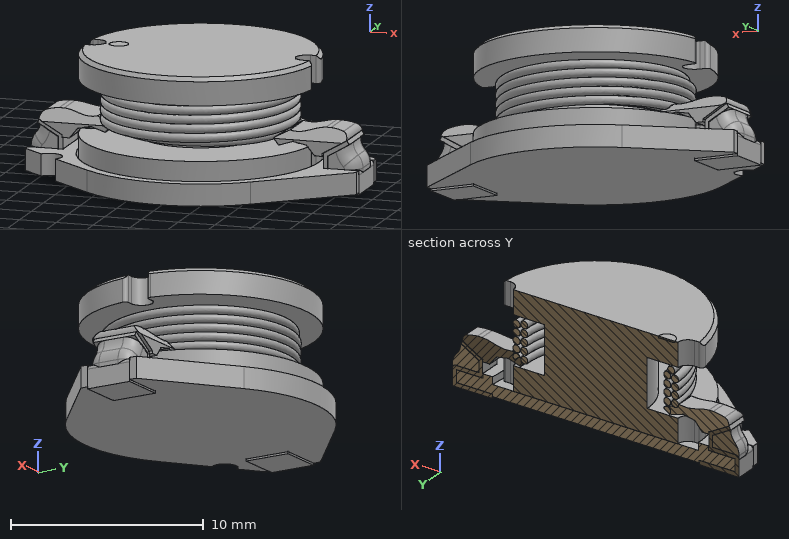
import cadquery as cq
import math

LENGTH = 18.05
WIDTH = 14.06
PAD_DROP = 0.1
BASE_TOP = 1.3
BASE_END_HALF = 1.7
KEY_X = -7.27
KEY_Y = -3.07
KEY_RADIUS = 0.69

CORE_RADIUS = 6.35
SEAT_RADIUS = 6.46
POST_RADIUS = 3.25
LOWER_FLANGE_TOP = 2.35
UPPER_FLANGE_BOTTOM = 5.3
CORE_TOP = 6.8
CORE_BOTTOM = LOWER_FLANGE_TOP - (CORE_TOP - UPPER_FLANGE_BOTTOM)
CORE_CHAMFER = 0.22
SLOT_WIDTH = 1.23
SLOT_END_X = 5.18
SLOT_MOUTH_RADIUS = 0.22
DOT_X = -4.45
DOT_RADIUS = 0.5
DOT_DEPTH = 0.09

WIRE_RADIUS = 0.23
OUTER_RADIUS = 4.98
INNER_RADIUS = 4.5
OUTER_START_Z = 2.89
OUTER_PITCH = 0.49
OUTER_TURNS = 4.25
CROSSOVER_TURNS = 0.5
INNER_TURNS = 4.75
INNER_TOP_Z = 5.05
INNER_BOTTOM_Z = 2.6
POINTS_PER_TURN = 16

SHEET = 0.25
TERMINAL_HALF_WIDTH = 1.28
PAD_INNER_X = 6.5
TONGUE_X = 7.35
TONGUE_BEND_Z = 1.97
TONGUE_TIP_X = 8.5
TONGUE_ANGLE = math.radians(30)
TONGUE_BEND_RADIUS = 0.18
WRAP_RADIUS = 0.23

SOLDER_HALF_WIDTH = 1.34
SOLDER_ROUNDING = 0.75

LEAD_HALF_WIDTH = 1.48
LEAD_TOP_HALF_WIDTH = 0.94
LEAD_TOP = 3.4
LEAD_SHOULDER_Z = 2.75

END_ANGLES = (0, 180)

END_X = LENGTH / 2
TONGUE_RISE = math.tan(TONGUE_ANGLE)
TONGUE_BEND = (TONGUE_X, TONGUE_BEND_Z)
TONGUE_TIP_LOW = (TONGUE_TIP_X, TONGUE_BEND_Z + (TONGUE_TIP_X - TONGUE_X) * TONGUE_RISE)
TONGUE_TIP_HIGH = (
    TONGUE_TIP_LOW[0] - SHEET * math.sin(TONGUE_ANGLE),
    TONGUE_TIP_LOW[1] + SHEET * math.cos(TONGUE_ANGLE),
)
TONGUE_BACK_X = TONGUE_X - SHEET
TONGUE_BACK_BEND = (
    TONGUE_BACK_X,
    TONGUE_TIP_HIGH[1] - (TONGUE_TIP_HIGH[0] - TONGUE_BACK_X) * TONGUE_RISE,
)


def xz_sketch(half_width):
    """Workplane in XZ from which extruding 2 * half_width is centred on Y = 0."""
    return cq.Workplane("XZ", origin=(0, half_width, 0))


def turned(body, angle):
    return body.rotate((0, 0, 0), (0, 0, 1), angle)


def make_terminal():
    strip = (
        xz_sketch(TERMINAL_HALF_WIDTH)
        .polyline([
            (PAD_INNER_X, 0),
            (END_X, 0),
            (END_X, BASE_TOP),
            (TONGUE_X, BASE_TOP),
            TONGUE_BEND,
            TONGUE_TIP_LOW,
            TONGUE_TIP_HIGH,
            TONGUE_BACK_BEND,
            (TONGUE_BACK_X, BASE_TOP - SHEET),
            (END_X - SHEET, BASE_TOP - SHEET),
            (END_X - SHEET, SHEET),
            (PAD_INNER_X, SHEET),
        ])
        .close()
        .extrude(2 * TERMINAL_HALF_WIDTH)
    )
    return strip


def round_terminal(strip):
    wrap_edge = cq.selectors.NearestToPointSelector((END_X, 0, BASE_TOP))
    back_bend = cq.selectors.NearestToPointSelector((TONGUE_BACK_BEND[0], 0, TONGUE_BACK_BEND[1]))
    return strip.edges(wrap_edge).fillet(WRAP_RADIUS).edges(back_bend).fillet(TONGUE_BEND_RADIUS)


def make_solder(terminal):
    foot_z = BASE_TOP - WRAP_RADIUS
    block_top = TONGUE_TIP_HIGH[1]
    s_middle = ((END_X + TONGUE_TIP_X) / 2, (BASE_TOP + TONGUE_TIP_LOW[1]) / 2)
    block = (
        xz_sketch(SOLDER_HALF_WIDTH)
        .moveTo(TONGUE_X, foot_z)
        .lineTo(END_X, foot_z)
        .lineTo(END_X, BASE_TOP)
        .tangentArcPoint(s_middle, relative=False)
        .tangentArcPoint(TONGUE_TIP_LOW, relative=False)
        .lineTo(TONGUE_TIP_X, block_top)
        .lineTo(TONGUE_X, block_top)
        .close()
        .extrude(2 * SOLDER_HALF_WIDTH)
    )
    side_edges = block.faces("|Y").edges().vals()
    outer_edges = [edge for edge in side_edges if edge.BoundingBox().xmin > TONGUE_TIP_X - 0.02]
    block = block.newObject(outer_edges).fillet(SOLDER_ROUNDING)
    above_tongue = (
        xz_sketch(SOLDER_HALF_WIDTH)
        .polyline([
            TONGUE_BEND,
            (LENGTH, TONGUE_BEND_Z + (LENGTH - TONGUE_X) * TONGUE_RISE),
            (TONGUE_X, LENGTH),
        ])
        .close()
        .extrude(2 * SOLDER_HALF_WIDTH)
    )
    return block.cut(above_tongue).cut(terminal)


def make_base(terminal_blanks):
    radius = WIDTH / 2
    corner_distance = math.hypot(END_X, BASE_END_HALF)
    tangent_angle = math.atan2(BASE_END_HALF, END_X) + math.acos(radius / corner_distance)
    tangent_x = radius * math.cos(tangent_angle)
    tangent_y = radius * math.sin(tangent_angle)
    plate = (
        cq.Workplane("XY", origin=(0, 0, PAD_DROP))
        .moveTo(END_X, -BASE_END_HALF)
        .lineTo(END_X, BASE_END_HALF)
        .lineTo(tangent_x, tangent_y)
        .threePointArc((0, radius), (-tangent_x, tangent_y))
        .lineTo(-END_X, BASE_END_HALF)
        .lineTo(-END_X, -BASE_END_HALF)
        .lineTo(-tangent_x, -tangent_y)
        .threePointArc((0, -radius), (tangent_x, -tangent_y))
        .close()
        .extrude(BASE_TOP - PAD_DROP)
    )
    key = cq.Workplane("XY").center(KEY_X, KEY_Y).circle(KEY_RADIUS).extrude(BASE_TOP)
    seat = cq.Workplane("XY", origin=(0, 0, CORE_BOTTOM)).circle(SEAT_RADIUS).extrude(BASE_TOP - CORE_BOTTOM)
    plate = plate.cut(key).cut(seat)
    for blank in terminal_blanks:
        plate = plate.cut(blank)
    return plate


def make_flange(bottom, top):
    flange = cq.Workplane("XY", origin=(0, 0, bottom)).circle(CORE_RADIUS).extrude(top - bottom)
    slot_length = 2 * (CORE_RADIUS + SLOT_WIDTH - SLOT_END_X)
    slots = (
        cq.Workplane("XY", origin=(0, 0, bottom))
        .pushPoints([(side * (SLOT_END_X + slot_length / 2), 0) for side in (1, -1)])
        .slot2D(slot_length, SLOT_WIDTH)
        .extrude(top - bottom)
    )
    flange = flange.cut(slots)
    mouth = cq.selectors.BoxSelector(
        (-LENGTH, -SLOT_WIDTH, bottom), (LENGTH, SLOT_WIDTH, top)
    )
    mouth_x = CORE_RADIUS - SLOT_MOUTH_RADIUS
    edges = flange.edges("|Z").edges(mouth)
    outer = [e for e in edges.vals() if abs(e.Center().x) > mouth_x]
    return flange.newObject(outer).fillet(SLOT_MOUTH_RADIUS)


def make_core(dot):
    lower = make_flange(CORE_BOTTOM, LOWER_FLANGE_TOP)
    upper = make_flange(UPPER_FLANGE_BOTTOM, CORE_TOP)
    height = CORE_TOP - CORE_BOTTOM
    floor = cq.Workplane("XY", origin=(0, 0, CORE_BOTTOM))
    post = floor.circle(POST_RADIUS).extrude(height)
    bevelled_cylinder = floor.circle(CORE_RADIUS).extrude(height).faces(">Z").chamfer(CORE_CHAMFER)
    return lower.union(post).union(upper).intersect(bevelled_cylinder).cut(dot)


def make_dot():
    return (
        cq.Workplane("XY", origin=(DOT_X, 0, CORE_TOP - DOT_DEPTH)).circle(DOT_RADIUS).extrude(DOT_DEPTH)
    )


def wire_point(turn):
    """Centre of the wire after a number of turns from the +X end of the outer layer."""
    inner_start = OUTER_TURNS + CROSSOVER_TURNS
    outer_top_z = OUTER_START_Z + OUTER_PITCH * OUTER_TURNS
    if turn <= OUTER_TURNS:
        radius = OUTER_RADIUS
        z = OUTER_START_Z + OUTER_PITCH * turn
    elif turn <= inner_start:
        share = (turn - OUTER_TURNS) / CROSSOVER_TURNS
        radius = OUTER_RADIUS + (INNER_RADIUS - OUTER_RADIUS) * share
        z = outer_top_z + (INNER_TOP_Z - outer_top_z) * math.sin(share * math.pi / 2)
    else:
        share = (turn - inner_start) / INNER_TURNS
        radius = INNER_RADIUS
        z = INNER_TOP_Z + (INNER_BOTTOM_Z - INNER_TOP_Z) * share
    angle = 2 * math.pi * turn
    return cq.Vector(radius * math.cos(angle), radius * math.sin(angle), z)


def make_winding():
    turns = OUTER_TURNS + CROSSOVER_TURNS + INNER_TURNS
    steps = round(turns * POINTS_PER_TURN)
    path = cq.Edge.makeSpline([wire_point(turns * step / steps) for step in range(steps + 1)])
    start = cq.Plane(origin=path.positionAt(0), normal=path.tangentAt(0))
    return cq.Workplane(start).circle(WIRE_RADIUS).sweep(cq.Workplane(path), isFrenet=True)


def make_lead():
    side = (
        xz_sketch(LEAD_HALF_WIDTH)
        .moveTo(*TONGUE_TIP_HIGH)
        .threePointArc((8.3, 3.14), (8.12, 3.29))
        .spline(
            [(7.62, LEAD_TOP), (6.82, 3.38), (6.26, 3.23), (5.23, 3.18)],
            includeCurrent=True,
        )
        .lineTo(4.42, 2.78)
        .lineTo(4.73, 2.4)
        .lineTo(5.49, 2.65)
        .lineTo(6.23, 2.5)
        .lineTo(6.68, 1.97)
        .lineTo(TONGUE_BACK_X, 1.97)
        .lineTo(*TONGUE_BACK_BEND)
        .close()
        .extrude(2 * LEAD_HALF_WIDTH)
    )
    section = (
        cq.Workplane("YZ")
        .polyline([
            (-LEAD_HALF_WIDTH, BASE_TOP),
            (LEAD_HALF_WIDTH, BASE_TOP),
            (LEAD_HALF_WIDTH, LEAD_SHOULDER_Z),
            (LEAD_TOP_HALF_WIDTH, LEAD_TOP + 0.02),
            (-LEAD_TOP_HALF_WIDTH, LEAD_TOP + 0.02),
            (-LEAD_HALF_WIDTH, LEAD_SHOULDER_Z),
        ])
        .close()
        .extrude(END_X)
    )
    return side.intersect(section)


terminal_blank = make_terminal()
terminal = round_terminal(terminal_blank)
solder = make_solder(terminal)
base = make_base([turned(terminal_blank, a) for a in END_ANGLES])
dot = make_dot()
core = make_core(dot)
winding = make_winding()
terminals = [turned(terminal, a) for a in END_ANGLES]
solders = [turned(solder, a) for a in END_ANGLES]
leads = [turned(make_lead(), a).cut(winding) for a in END_ANGLES]
end_parts = [part.val() for part in terminals + solders + leads]

result = cq.Compound.makeCompound([base.val(), core.val(), dot.val(), winding.val(), *end_parts])